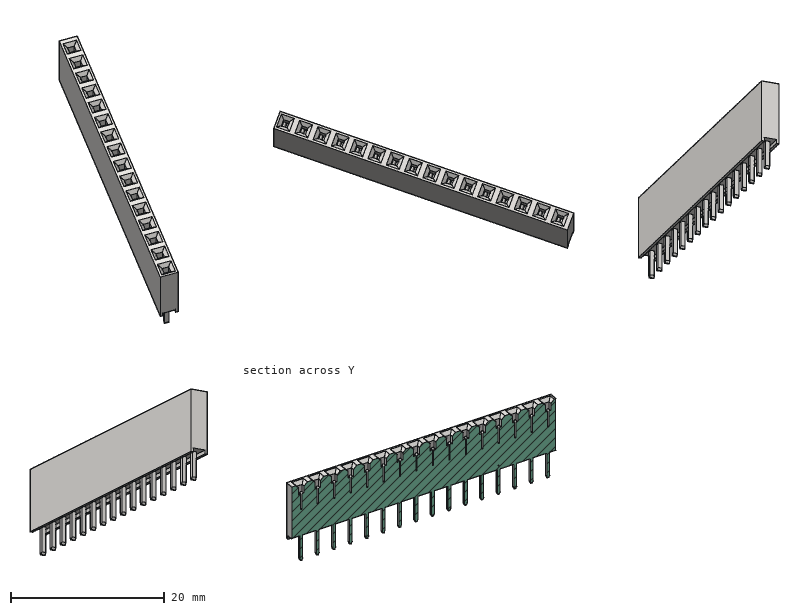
import cadquery as cq

length = 40.8
width = 2.5
housing_height = 8.55

lip_thickness = 0.35
groove_depth = 0.55

contact_count = 16
first_contact_inset = 1.5
last_contact_inset = 1.2
pitch = (length - first_contact_inset - last_contact_inset) / (contact_count - 1)
contact_xs = [first_contact_inset - length / 2 + i * pitch for i in range(contact_count)]

well_x = 0.8
well_y = 0.9
lead_in = 0.5
well_depth = 1.0
blade_gap = 0.12
blade_gap_depth = 2.45
blade_radius = (well_x - blade_gap) / 4

pin_x = 0.5
pin_y = 0.6
pin_length = 3.3
tip_x = 0.2
tip_height = 0.33

well_top = housing_height - lead_in
blade_crest = well_top - well_depth
blade_axis = blade_crest - blade_radius


def housing():
    """Plain bar with a full-length groove in its underside."""
    bar = cq.Workplane("XY").box(length, width, housing_height, centered=(True, True, False))
    groove_width = width - 2 * lip_thickness
    groove = cq.Workplane("XY").box(length, groove_width, groove_depth, centered=(True, True, False))
    return bar.cut(groove)


def socket():
    """Hollow of one socket: flared mouth, then a well ending at two rounded blades."""
    mouth = (
        cq.Workplane("XY", origin=(0, 0, well_top))
        .rect(well_x, well_y)
        .workplane(offset=lead_in)
        .rect(well_x + 2 * lead_in, well_y + 2 * lead_in)
        .loft(ruled=True)
    )
    slit_side = blade_gap / 2
    crest_x = slit_side + blade_radius
    slit_floor = blade_crest - blade_gap_depth
    well = (
        cq.Workplane("XZ")
        .moveTo(-well_x / 2, well_top)
        .lineTo(-well_x / 2, blade_axis)
        .threePointArc((-crest_x, blade_crest), (-slit_side, blade_axis))
        .lineTo(-slit_side, slit_floor)
        .lineTo(slit_side, slit_floor)
        .lineTo(slit_side, blade_axis)
        .threePointArc((crest_x, blade_crest), (well_x / 2, blade_axis))
        .lineTo(well_x / 2, well_top)
        .close()
        .extrude(well_y / 2, both=True)
    )
    return mouth.union(well)


def pin():
    """Rectangular pin rising to the groove roof, with a tip that narrows along the row."""
    tip_shoulder = tip_height - pin_length
    outline = [
        (-pin_x / 2, groove_depth),
        (-pin_x / 2, tip_shoulder),
        (-tip_x / 2, -pin_length),
        (tip_x / 2, -pin_length),
        (pin_x / 2, tip_shoulder),
        (pin_x / 2, groove_depth),
    ]
    return cq.Workplane("XZ").polyline(outline).close().extrude(pin_y / 2, both=True)


one_socket = socket()
one_pin = pin()

result = housing()
for contact_x in contact_xs:
    result = result.cut(one_socket.translate((contact_x, 0, 0)))
    result = result.union(one_pin.translate((contact_x, 0, 0)))